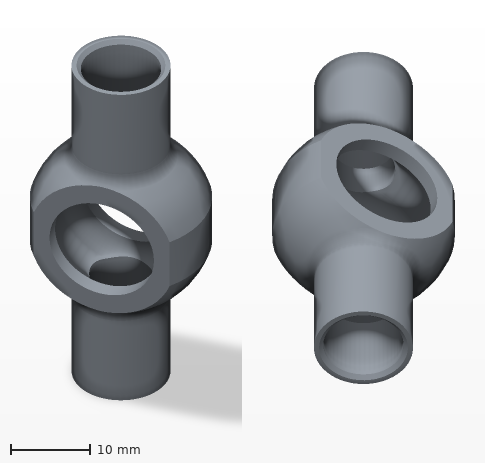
import cadquery as cq
import math

total_height = 48.0
body_width = 23.0
body_depth = 14.0
ball_radius = 12.0
tube_radius = 6.25
neck_fillet = 2.4

tube_bore_radius = 10.15 / 2
passage_radius = 8.0 / 2
tube_bore_depth = 10.0
shoulder_slope = 30.0
mouth_chamfer = 0.55

cross_bore_radius = 14.0 / 2
chamber_radius = 9.5
chamber_length = 5.0

half_height = total_height / 2
half_depth = body_depth / 2
belt_radius = body_width / 2
belt_half_height = math.sqrt(ball_radius**2 - belt_radius**2)
neck_center_r = tube_radius + neck_fillet
neck_center_z = math.sqrt((ball_radius + neck_fillet)**2 - neck_center_r**2)
ball_share = ball_radius / (ball_radius + neck_fillet)
neck_end_r = neck_center_r * ball_share
neck_end_z = neck_center_z * ball_share
neck_sweep = math.atan2(neck_center_z, neck_center_r)
neck_mid_angle = math.pi + neck_sweep / 2
neck_mid_r = neck_center_r + neck_fillet * math.cos(neck_mid_angle)
neck_mid_z = neck_center_z + neck_fillet * math.sin(neck_mid_angle)
ball_mid_angle = (neck_sweep + math.atan2(belt_half_height, belt_radius)) / 2
ball_mid_r = ball_radius * math.cos(ball_mid_angle)
ball_mid_z = ball_radius * math.sin(ball_mid_angle)


def make_body():
    """Revolve half of the outline, mirror it and cut the flat faces."""
    upper_half = (
        cq.Workplane("XZ")
        .lineTo(belt_radius, 0)
        .lineTo(belt_radius, belt_half_height)
        .threePointArc((ball_mid_r, ball_mid_z), (neck_end_r, neck_end_z))
        .threePointArc((neck_mid_r, neck_mid_z), (tube_radius, neck_center_z))
        .lineTo(tube_radius, half_height)
        .lineTo(0, half_height)
        .close()
        .revolve(360, (0, 0), (0, 1))
    )
    slab = cq.Workplane("XY").box(body_width, body_depth, total_height)
    return upper_half.union(upper_half.mirror("XY")).intersect(slab)


def make_tube_bore():
    """Narrow passage, conical shoulder, wide bore and chamfered mouth."""
    shoulder_top = half_height - tube_bore_depth
    shoulder_height = (tube_bore_radius - passage_radius) * math.tan(math.radians(shoulder_slope))
    upper_half = (
        cq.Workplane("XZ")
        .lineTo(passage_radius, 0)
        .lineTo(passage_radius, shoulder_top - shoulder_height)
        .lineTo(tube_bore_radius, shoulder_top)
        .lineTo(tube_bore_radius, half_height - mouth_chamfer)
        .lineTo(tube_bore_radius + mouth_chamfer, half_height)
        .lineTo(0, half_height)
        .close()
        .revolve(360, (0, 0), (0, 1))
    )
    return upper_half.union(upper_half.mirror("XY"))


def make_cross_bore():
    """Cross bore with a chamber whose ends round inward as quarter circles."""
    chamber_half_length = chamber_length / 2
    end_round = chamber_radius - cross_bore_radius
    lip_y = chamber_half_length + end_round
    round_mid_r = cross_bore_radius + end_round * math.sqrt(0.5)
    round_mid_y = chamber_half_length + end_round * math.sqrt(0.5)
    rear_half = (
        cq.Workplane("XY")
        .lineTo(chamber_radius, 0)
        .lineTo(chamber_radius, chamber_half_length)
        .threePointArc((round_mid_r, round_mid_y), (cross_bore_radius, lip_y))
        .lineTo(cross_bore_radius, half_depth)
        .lineTo(0, half_depth)
        .close()
        .revolve(360, (0, 0), (0, 1))
    )
    return rear_half.union(rear_half.mirror("XZ"))


result = make_body().cut(make_tube_bore()).cut(make_cross_bore())